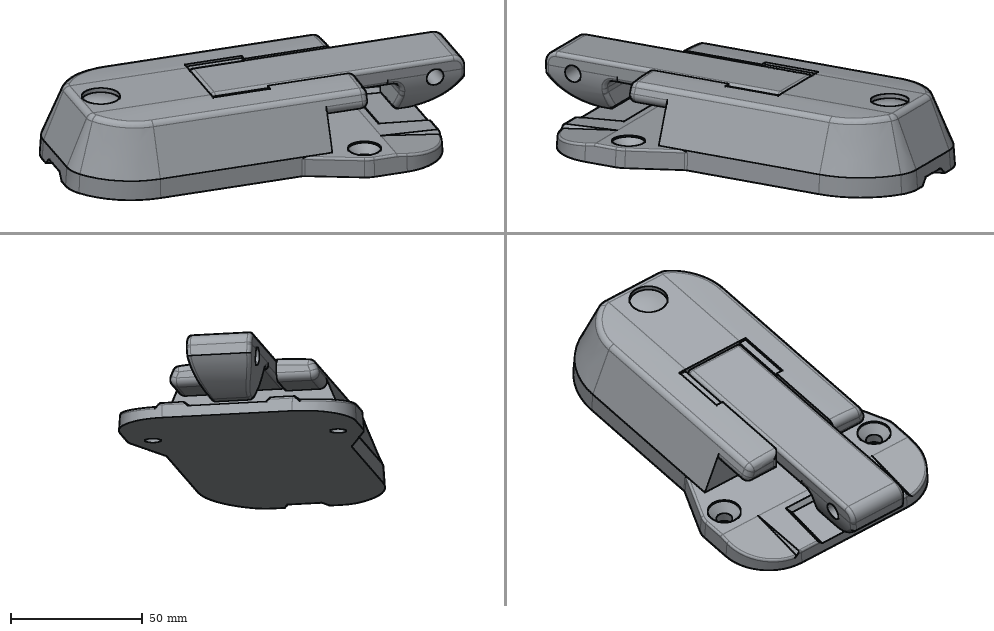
import cadquery as cq
import math

TOTAL_LENGTH = 162.5
TOTAL_HEIGHT = 29.0
BASE_HEIGHT = 7.8
BASE_DRAFT = 4.0
OVERSIZE = 16.2

BODY_HALF_WIDTH = 36.0
ROUND_END_LENGTH = 30.2
SIDE_RADIUS = 33.3
FRONT_FLAT_HALF = 13.0

EAR_HALF_WIDTH = 46.0
EAR_END_Y = 147.2
EAR_BEND_Y = 111.3
EAR_ROOT_Y = 88.0
EAR_CORNER_RADIUS = 20.6
EAR_BEND_RADIUS = 9.7
EAR_ROOT_RADIUS = 2.5
EAR_OVERLAP = 9.7
EAR_TOP_FILLET = 1.0
SKIRT_END_Y = 97.5

SLOPE_START_Y = 122.7
MIDDLE_SLOPE = 4.2
OUTER_SLOPE = 7.6
OUTER_SLOPE_X = 27.5

RECESS_START_Y = 125.8
RECESS_DEPTH = 1.8
RECESS_HALF_WIDTH = 16.4
RECESS_END_HALF_WIDTH = 17.0
RECESS_WALL_ANGLE = 45.0

SCREW_X = 36.0
SCREW_Y = 113.0
SCREW_RADIUS = 3.1
SCREW_HEAD_RADIUS = 6.3
SCREW_HEAD_STEP = 0.6

NOTCH_HALF_WIDTH = 8.8
NOTCH_HEIGHT = 3.0
NOTCH_DEPTH = 4.9
NOTCH_INNER_HALF_WIDTH = 6.8
NOTCH_INNER_HEIGHT = 1.5

COVER_DRAFT = 22.4
COVER_END_Y = 117.5
COVER_WALL_Y = 100.1
ARM_BOTTOM_Z = 20.1
CROWN_RADIUS = 121.9
CROWN_TRIM = 1.6
COVER_FILLET = 3.0

LEVER_HALF_WIDTH = 12.7
LEVER_BOTTOM_Z = 21.0
LEVER_TAIL_Y = 59.3
LEVER_CLEARANCE = 0.3
LEVER_NOSE_RADIUS = 4.9
LEVER_FILLET = 1.6
LEVER_HOLE_Y = 150.1
LEVER_HOLE_Z = 21.5
LEVER_HOLE_RADIUS = 3.4

HOOK_NOSE_Z = 19.8
HOOK_TIP_Z = 8.0
HOOK_TIP_OUTER_Y = 141.0
HOOK_TIP_INNER_Y = 134.9
HOOK_THROAT_Y = 136.3
HOOK_THROAT_Z = 15.8
HOOK_THROAT_RADIUS = 3.2
HOOK_TAPER_Z = 23.4
HOOK_TIP_HALF_WIDTH = 7.5
HOOK_BELLY = (153.4, 11.9)
HOOK_START_Y = 130.8

PAD_LENGTH = 23.0
PAD_WIDTH = 3.0
PAD_TOP_Z = 28.0

BUTTON_Y = 19.2
BUTTON_RADIUS = 7.3
BUTTON_BOTTOM_Z = 22.7
BUTTON_RIM_Z = 27.1
BUTTON_DOME_HEIGHT = 1.1

SLOT_HALF_WIDTH = LEVER_HALF_WIDTH + LEVER_CLEARANCE
SLOT_END_Y = LEVER_TAIL_Y - LEVER_CLEARANCE
BASE_INSET = BASE_HEIGHT * math.tan(math.radians(BASE_DRAFT))


def body_outline(inset, z, end_y):
    """Round-ended outline at height z, moved inwards by inset, with a straight end at end_y."""
    side_centre_x = BODY_HALF_WIDTH - SIDE_RADIUS
    centre_gap = FRONT_FLAT_HALF - side_centre_x
    front_radius = (SIDE_RADIUS**2 - centre_gap**2 - ROUND_END_LENGTH**2) / (
        2 * (SIDE_RADIUS - ROUND_END_LENGTH)
    )
    junction = math.atan2(ROUND_END_LENGTH - front_radius, centre_gap)
    half_width = BODY_HALF_WIDTH - inset

    def on_side_arc(angle):
        reach = SIDE_RADIUS - inset
        x = side_centre_x + reach * math.cos(angle)
        return x, ROUND_END_LENGTH - reach * math.sin(angle)

    def on_front_arc(angle):
        reach = front_radius - inset
        x = FRONT_FLAT_HALF + reach * math.cos(angle)
        return x, front_radius - reach * math.sin(angle)

    def mirrored(point):
        return -point[0], point[1]

    side_middle = on_side_arc(junction / 2)
    side_end = on_side_arc(junction)
    front_middle = on_front_arc((junction + math.pi / 2) / 2)
    return (
        cq.Workplane("XY", origin=(0, 0, z))
        .moveTo(half_width, end_y)
        .lineTo(half_width, ROUND_END_LENGTH)
        .threePointArc(side_middle, side_end)
        .threePointArc(front_middle, (FRONT_FLAT_HALF, inset))
        .lineTo(-FRONT_FLAT_HALF, inset)
        .threePointArc(mirrored(front_middle), mirrored(side_end))
        .threePointArc(mirrored(side_middle), (-half_width, ROUND_END_LENGTH))
        .lineTo(-half_width, end_y)
        .close()
    )


def edges_near(solid, centre, size):
    """Edges whose centres lie in a box of the given size."""
    low = [c - s / 2 for c, s in zip(centre, size)]
    high = [c + s / 2 for c, s in zip(centre, size)]
    return solid.edges(cq.selectors.BoxSelector(low, high))


def slope_cutter(angle, points):
    """Prism of a section across X, swept towards +Y along a plane that falls by angle degrees."""
    tilt = math.radians(angle)
    plane = cq.Plane(
        origin=(0, SLOPE_START_Y, BASE_HEIGHT),
        xDir=(-1, 0, 0),
        normal=(0, math.cos(tilt), -math.sin(tilt)),
    )
    return cq.Workplane(plane).polyline(points).close().extrude(EAR_END_Y - SLOPE_START_Y + OVERSIZE)


def ear_outline():
    corners = [
        (EAR_HALF_WIDTH, EAR_END_Y),
        (EAR_HALF_WIDTH, EAR_BEND_Y),
        (BODY_HALF_WIDTH, EAR_ROOT_Y),
        (BODY_HALF_WIDTH, EAR_ROOT_Y - EAR_OVERLAP),
    ]
    mirrored = [(-x, y) for x, y in reversed(corners)]
    outline = cq.Sketch().polygon(corners + mirrored + corners[:1])
    for y, radius in (
        (EAR_END_Y, EAR_CORNER_RADIUS),
        (EAR_BEND_Y, EAR_BEND_RADIUS),
        (EAR_ROOT_Y, EAR_ROOT_RADIUS),
    ):
        row = cq.selectors.BoxSelector((-EAR_HALF_WIDTH - 1.6, y - 1.6, -1.6), (EAR_HALF_WIDTH + 1.6, y + 1.6, 1.6))
        outline = outline.vertices(row).fillet(radius).reset()
    return outline


def ear_plate():
    plate = cq.Workplane("XY").placeSketch(ear_outline()).extrude(BASE_HEIGHT, taper=BASE_DRAFT)
    middle = [
        (-EAR_HALF_WIDTH - OVERSIZE, 0),
        (EAR_HALF_WIDTH + OVERSIZE, 0),
        (EAR_HALF_WIDTH + OVERSIZE, OVERSIZE),
        (-EAR_HALF_WIDTH - OVERSIZE, OVERSIZE),
    ]
    plate = plate.cut(slope_cutter(MIDDLE_SLOPE, middle))
    for side in (-1, 1):
        outer = [
            (side * OUTER_SLOPE_X, 0),
            (side * (EAR_HALF_WIDTH + OVERSIZE), 0),
            (side * (EAR_HALF_WIDTH + OVERSIZE), OVERSIZE),
            (side * (OUTER_SLOPE_X - OVERSIZE), OVERSIZE),
        ]
        plate = plate.cut(slope_cutter(OUTER_SLOPE, outer))
    return plate


def round_ear_edges(plate):
    """Round the top edge along the outside of the ears and across their sloping end."""
    rim_middle_y = (EAR_ROOT_Y + EAR_END_Y) / 2
    sides = [
        edges_near(plate, (side * EAR_HALF_WIDTH, rim_middle_y, BASE_HEIGHT), (16.2, 58.5, 4.9))
        for side in (-1, 1)
    ]
    end = edges_near(plate, (0, EAR_END_Y, BASE_HEIGHT), (3.2, 3.2, 4.9))
    rim = sides[0].add(sides[1]).add(end)
    return rim.fillet(EAR_TOP_FILLET)


def thumb_recess():
    """Recess widening towards the ear end, with walls at 45 degrees and a floor along the slope."""
    open_end_y = EAR_END_Y + OVERSIZE
    flare = (RECESS_END_HALF_WIDTH - RECESS_HALF_WIDTH) / (EAR_END_Y - RECESS_START_Y)
    open_half_width = RECESS_HALF_WIDTH + flare * (open_end_y - RECESS_START_Y)
    rim = [
        (-RECESS_HALF_WIDTH, RECESS_START_Y),
        (RECESS_HALF_WIDTH, RECESS_START_Y),
        (open_half_width, open_end_y),
        (-open_half_width, open_end_y),
    ]
    recess = (
        cq.Workplane("XY", origin=(0, 0, BASE_HEIGHT))
        .polyline(rim)
        .close()
        .extrude(-RECESS_DEPTH, taper=RECESS_WALL_ANGLE)
    )
    pivot = (0, SLOPE_START_Y, BASE_HEIGHT)
    return recess.rotate(pivot, (1, SLOPE_START_Y, BASE_HEIGHT), -MIDDLE_SLOPE)


def screw_hole(side):
    """Countersunk hole with a short cylindrical step above the cone."""
    cone_depth = SCREW_HEAD_RADIUS - SCREW_RADIUS
    profile = [
        (0, 0),
        (SCREW_RADIUS, 0),
        (SCREW_RADIUS, BASE_HEIGHT - SCREW_HEAD_STEP - cone_depth),
        (SCREW_HEAD_RADIUS, BASE_HEIGHT - SCREW_HEAD_STEP),
        (SCREW_HEAD_RADIUS, BASE_HEIGHT),
        (0, BASE_HEIGHT),
    ]
    hole = cq.Workplane("XZ").polyline(profile).close().revolve(360, (0, 0), (0, 1))
    return hole.translate((side * SCREW_X, SCREW_Y, 0))


def pry_notch():
    """Notch open to the front and below, narrowing inwards; its sides lean at 45 degrees."""

    def section(half_width, height):
        top = half_width - height
        return [(-half_width, 0), (half_width, 0), (top, height), (-top, height)]

    return (
        cq.Workplane("XZ")
        .polyline(section(NOTCH_HALF_WIDTH, NOTCH_HEIGHT))
        .close()
        .workplane(offset=-NOTCH_DEPTH)
        .polyline(section(NOTCH_INNER_HALF_WIDTH, NOTCH_INNER_HEIGHT))
        .close()
        .loft(ruled=True)
    )


def make_base():
    base = round_ear_edges(ear_plate())
    base = base.union(body_outline(0, 0, SKIRT_END_Y).extrude(BASE_HEIGHT, taper=BASE_DRAFT))
    for side in (-1, 1):
        base = base.cut(screw_hole(side))
    return base.cut(thumb_recess()).cut(pry_notch())


def crown_prism():
    """Everything below the crowned top: flat above the slot, falling away on both sides."""
    reach = BODY_HALF_WIDTH + OVERSIZE - SLOT_HALF_WIDTH
    crown_centre_z = TOTAL_HEIGHT - CROWN_RADIUS

    def crown_point(distance):
        return SLOT_HALF_WIDTH + distance, crown_centre_z + math.sqrt(CROWN_RADIUS**2 - distance**2)

    middle = crown_point(reach / 2)
    end = crown_point(reach)
    return (
        cq.Workplane("XZ")
        .moveTo(-SLOT_HALF_WIDTH, TOTAL_HEIGHT)
        .lineTo(SLOT_HALF_WIDTH, TOTAL_HEIGHT)
        .threePointArc(middle, end)
        .lineTo(end[0], 0)
        .lineTo(-end[0], 0)
        .lineTo(-end[0], end[1])
        .threePointArc((-middle[0], middle[1]), (-SLOT_HALF_WIDTH, TOTAL_HEIGHT))
        .close()
        .extrude(-COVER_END_Y)
    )


def cover_blank():
    """Drafted, crowned body whose far end overhangs the ears."""
    cover = body_outline(BASE_INSET, BASE_HEIGHT, COVER_END_Y + 2 * OVERSIZE).extrude(
        TOTAL_HEIGHT - BASE_HEIGHT + CROWN_TRIM, taper=COVER_DRAFT
    )
    cover = cover.intersect(crown_prism())
    overhang = COVER_END_Y - COVER_WALL_Y + OVERSIZE
    gap = cq.Workplane("XY").box(
        2 * EAR_HALF_WIDTH, overhang, ARM_BOTTOM_Z, centered=(True, False, False)
    )
    return cover.cut(gap.translate((0, COVER_WALL_Y, 0)))


def lever_slot():
    slot_length = COVER_END_Y + OVERSIZE - SLOT_END_Y
    slot = cq.Workplane("XY").box(
        2 * SLOT_HALF_WIDTH, slot_length, TOTAL_HEIGHT, centered=(True, False, False)
    )
    overhang_floor = cq.Workplane("XY").box(
        2 * SLOT_HALF_WIDTH, COVER_WALL_Y - SLOT_END_Y, LEVER_BOTTOM_Z, centered=(True, False, False)
    )
    return slot.cut(overhang_floor).translate((0, SLOT_END_Y, 0))


def round_cover_edges(cover):
    """Round the top rim, the ends of both arms and the lower outer edges of the arms."""
    side_edge_x = (BODY_HALF_WIDTH + SLOT_HALF_WIDTH) / 2
    side_span = BODY_HALF_WIDTH - SLOT_HALF_WIDTH
    arm_middle_y = (COVER_WALL_Y + COVER_END_Y) / 2
    front = edges_near(cover, (0, 0, TOTAL_HEIGHT), (2 * BODY_HALF_WIDTH, 48.7, 3.2))
    edges = [edge for edge in front.vals() if edge.geomType() != "LINE"]
    edges += edges_near(cover, (0, 8.1, TOTAL_HEIGHT), (3.2, 16.2, 1.6)).vals()
    for side in (-1, 1):
        edges += edges_near(cover, (side * 27.6, 73.1, 27.6), (4.9, 16.2, 3.2)).vals()
        edges += edges_near(cover, (side * side_edge_x, COVER_END_Y, 24.4), (side_span, 1.6, 9.7)).vals()
        edges += edges_near(cover, (side * 30.0, arm_middle_y, ARM_BOTTOM_Z), (4.9, 3.2, 1.6)).vals()
    return cover.newObject(edges).fillet(COVER_FILLET)


def pad_box(side):
    """Pivot pad that fills its pocket beside the lever."""
    pad = cq.Workplane("XY").box(
        PAD_WIDTH, PAD_LENGTH, PAD_TOP_Z - LEVER_BOTTOM_Z, centered=(True, False, False)
    )
    return pad.translate((side * (SLOT_HALF_WIDTH + PAD_WIDTH / 2), SLOT_END_Y, LEVER_BOTTOM_Z))


def make_cover():
    cover = round_cover_edges(cover_blank().cut(lever_slot()))
    for side in (-1, 1):
        pocket = pad_box(side)
        cover = cover.cut(pocket).cut(pocket.translate((0, 0, TOTAL_HEIGHT - PAD_TOP_Z)))
    button_hole = (
        cq.Workplane("XY", origin=(0, BUTTON_Y, BUTTON_BOTTOM_Z)).circle(BUTTON_RADIUS).extrude(TOTAL_HEIGHT)
    )
    return cover.cut(button_hole)


def lever_profile():
    """Side outline of the lever with its rounded nose and its hook."""
    nose_mid = LEVER_NOSE_RADIUS * (1 - math.sqrt(0.5))
    throat_end_y = HOOK_THROAT_Y - HOOK_THROAT_RADIUS
    throat_start_z = LEVER_BOTTOM_Z - HOOK_THROAT_RADIUS
    throat_mid = HOOK_THROAT_RADIUS * math.sqrt(0.5)
    return (
        cq.Workplane("YZ")
        .moveTo(LEVER_TAIL_Y, LEVER_BOTTOM_Z)
        .lineTo(LEVER_TAIL_Y, TOTAL_HEIGHT)
        .lineTo(TOTAL_LENGTH - LEVER_NOSE_RADIUS, TOTAL_HEIGHT)
        .threePointArc(
            (TOTAL_LENGTH - nose_mid, TOTAL_HEIGHT - nose_mid),
            (TOTAL_LENGTH, TOTAL_HEIGHT - LEVER_NOSE_RADIUS),
        )
        .lineTo(TOTAL_LENGTH, HOOK_NOSE_Z)
        .threePointArc(HOOK_BELLY, (HOOK_TIP_OUTER_Y, HOOK_TIP_Z))
        .lineTo(HOOK_THROAT_Y, HOOK_TIP_Z)
        .lineTo(HOOK_TIP_INNER_Y, HOOK_TIP_Z + HOOK_THROAT_Y - HOOK_TIP_INNER_Y)
        .lineTo(HOOK_THROAT_Y, HOOK_THROAT_Z)
        .lineTo(HOOK_THROAT_Y, throat_start_z)
        .threePointArc(
            (throat_end_y + throat_mid, throat_start_z + throat_mid), (throat_end_y, LEVER_BOTTOM_Z)
        )
        .close()
    )


def hook_side_cutter(side):
    """Material beside the hook, bounded by an arc that starts tangent to the lever's side."""
    drop = HOOK_TAPER_Z - HOOK_TIP_Z
    inset = LEVER_HALF_WIDTH - HOOK_TIP_HALF_WIDTH
    radius = (drop**2 + inset**2) / (2 * inset)
    half_angle = math.atan2(drop, radius - inset) / 2
    middle_x = LEVER_HALF_WIDTH - radius * (1 - math.cos(half_angle))
    middle_z = HOOK_TAPER_Z - radius * math.sin(half_angle)
    outer_x = side * (LEVER_HALF_WIDTH + OVERSIZE)
    return (
        cq.Workplane("XZ", origin=(0, HOOK_START_Y, 0))
        .moveTo(side * LEVER_HALF_WIDTH, HOOK_TAPER_Z)
        .threePointArc((side * middle_x, middle_z), (side * HOOK_TIP_HALF_WIDTH, HOOK_TIP_Z))
        .lineTo(side * HOOK_TIP_HALF_WIDTH, 0)
        .lineTo(outer_x, 0)
        .lineTo(outer_x, HOOK_TAPER_Z)
        .close()
        .extrude(HOOK_START_Y - TOTAL_LENGTH - OVERSIZE)
    )


def lever_bar():
    """Lever at full width, rounded along both sides and across the top of the tail."""
    bar = lever_profile().extrude(LEVER_HALF_WIDTH, both=True)
    tail_top = bar.faces("<Y").edges(">Z")
    return bar.faces("<X or >X").edges().add(tail_top).fillet(LEVER_FILLET)


def tapered_hook():
    """Lever with its sides tapered below the bar, rounded along the outline of the hook."""
    hook = lever_profile().extrude(LEVER_HALF_WIDTH, both=True)
    for side in (-1, 1):
        hook = hook.cut(hook_side_cutter(side))
    top_z = TOTAL_HEIGHT - LEVER_NOSE_RADIUS
    for side in (-1, 1):
        rim_centre = (side * LEVER_HALF_WIDTH, (HOOK_START_Y + TOTAL_LENGTH) / 2 + 1.6, top_z / 2)
        rim = edges_near(hook, rim_centre, (LEVER_HALF_WIDTH, TOTAL_LENGTH - HOOK_START_Y, top_z - 3.2))
        hook = rim.fillet(LEVER_FILLET)
    return hook


def make_lever():
    hook_region = (
        cq.Workplane("XY", origin=(0, HOOK_START_Y, 0))
        .box(4 * LEVER_HALF_WIDTH, TOTAL_LENGTH, HOOK_TAPER_Z, centered=(True, False, False))
    )
    lever = lever_bar().cut(hook_region).union(tapered_hook().intersect(hook_region))
    hole = (
        cq.Workplane("YZ")
        .center(LEVER_HOLE_Y, LEVER_HOLE_Z)
        .circle(LEVER_HOLE_RADIUS)
        .extrude(LEVER_HALF_WIDTH + OVERSIZE, both=True)
    )
    return lever.cut(hole)


def make_button():
    apex_z = BUTTON_RIM_Z + BUTTON_DOME_HEIGHT
    dome_radius = (BUTTON_RADIUS**2 + BUTTON_DOME_HEIGHT**2) / (2 * BUTTON_DOME_HEIGHT)
    half_chord = BUTTON_RADIUS / 2
    middle = (half_chord, apex_z - dome_radius + math.sqrt(dome_radius**2 - half_chord**2))
    button = (
        cq.Workplane("XZ")
        .moveTo(0, BUTTON_BOTTOM_Z)
        .lineTo(BUTTON_RADIUS, BUTTON_BOTTOM_Z)
        .lineTo(BUTTON_RADIUS, BUTTON_RIM_Z)
        .threePointArc(middle, (0, apex_z))
        .close()
        .revolve(360, (0, 0), (0, 1))
    )
    return button.translate((0, BUTTON_Y, 0))


base = make_base()
cover = make_cover()
lever = make_lever()
button = make_button()
pads = [pad_box(side) for side in (-1, 1)]
result = cq.Compound.makeCompound(
    [base.val(), cover.val(), lever.val(), button.val(), *[pad.val() for pad in pads]]
)